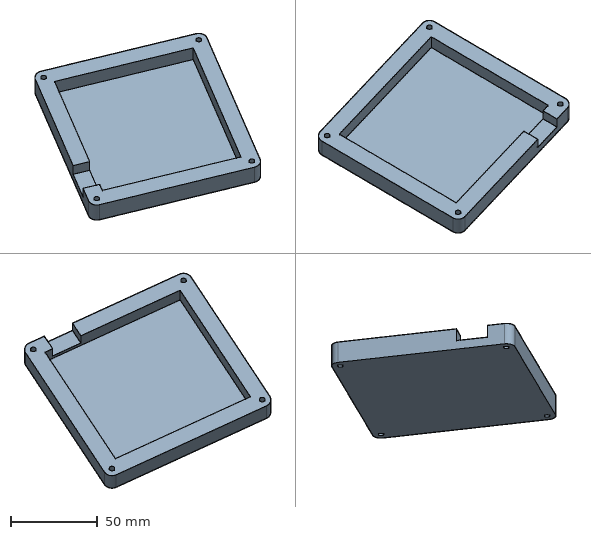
import cadquery as cq

length = 108.7
width = 103.9
height = 13.0
corner_radius = 5.0

rim = 10.0
pocket_depth = 10.0

hole_diameter = 3.2

notch_left = 75.2
notch_width = 18.5
notch_depth = 7.5


def tray_body():
    body = cq.Workplane("XY").box(length, width, height, centered=(True, True, False))
    return body.edges("|Z").fillet(corner_radius)


def pocket():
    return (
        cq.Workplane("XY", origin=(0, 0, height - pocket_depth))
        .rect(length - 2 * rim, width - 2 * rim)
        .extrude(pocket_depth)
    )


def screw_holes():
    return (
        cq.Workplane("XY")
        .rect(length - 2 * corner_radius, width - 2 * corner_radius, forConstruction=True)
        .vertices()
        .circle(hole_diameter / 2)
        .extrude(height)
    )


def cable_notch():
    return cq.Workplane("XY").box(notch_width, rim, notch_depth, centered=False).translate(
        (notch_left - length / 2, -width / 2, height - notch_depth)
    )


result = tray_body().cut(pocket()).cut(screw_holes()).cut(cable_notch())